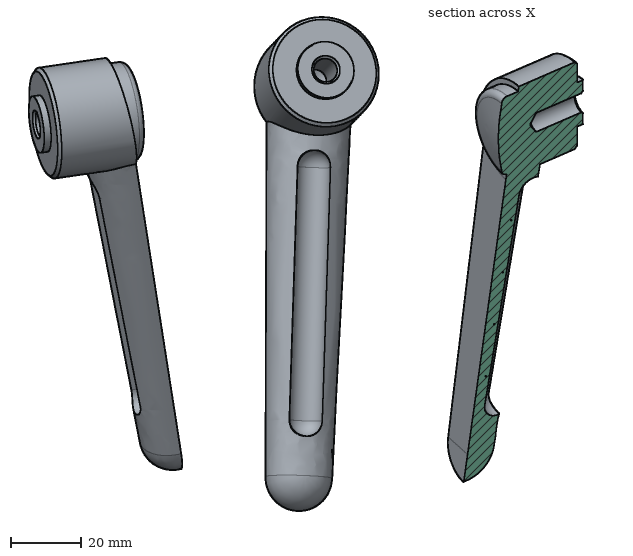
import cadquery as cq
import math

total_height = 136
hub_radius = 15.98
boss_radius = 8.2
boss_length = 2.0
buried_y = 2 * boss_length
hub_chamfer = 1.0

cap_radius = 14.3
cap_edge_radius = 1.9
cap_rim_y = 28.3
cap_peak_y = 29.5

hole_radius = 3.4
hole_mouth_radius = 4.1
hole_depth = 16.3
drill_point_angle = 118

total_depth = 41.5
lever_tilt = 8
root_half_width = 12.4
root_thickness = 12.2
tip_half_width = 9.7
tip_thickness = 9.4

groove_radius = 4.8
groove_start = 23.4
groove_end = 95.6
groove_sink = 1.1

tilt = math.radians(lever_tilt)
tip_drop = total_height - hub_radius
back_y = total_depth - tip_drop * math.tan(tilt)
tip_reach = math.hypot(tip_half_width * math.cos(tilt), tip_thickness * math.sin(tilt))
lever_length = (tip_drop - tip_reach) / math.cos(tilt)

lever_frame = cq.Plane(origin=(0, back_y, 0), xDir=(1, 0, 0), normal=(0, math.sin(tilt), -math.cos(tilt)))


def revolve_about_y(profile):
    return profile.close().revolve(360, (0, 0, 0), (0, 1, 0))


def half_ellipse(sketch, half_width, thickness):
    """Close a section with its flat on local x and its crest at local y = thickness."""
    return (
        sketch.moveTo(half_width, 0)
        .ellipseArc(half_width, thickness, 0, 180, startAtCurrent=True)
        .close()
    )


def make_hub():
    body = (
        cq.Workplane("XZ", origin=(0, boss_length, 0))
        .circle(hub_radius)
        .extrude(boss_length - total_depth)
        .faces("<Y")
        .chamfer(hub_chamfer)
    )
    behind_lever = (
        cq.Workplane(lever_frame)
        .center(0, -total_height / 2)
        .box(total_height, total_height, total_height)
    )
    boss = cq.Workplane("XZ").circle(boss_radius).extrude(-buried_y)
    return body.cut(behind_lever).union(boss)


def make_cap():
    shoulder_radius = cap_radius - cap_edge_radius
    dome_rise = cap_peak_y - cap_rim_y
    dome_radius = (shoulder_radius**2 + dome_rise**2) / (2 * dome_rise)
    half_angle = math.asin(shoulder_radius / dome_radius) / 2
    dome_middle = (
        dome_radius * math.sin(half_angle),
        cap_peak_y - dome_radius * (1 - math.cos(half_angle)),
    )
    profile = (
        cq.Workplane("XY")
        .moveTo(0, buried_y)
        .lineTo(cap_radius, buried_y)
        .lineTo(cap_radius, cap_rim_y - cap_edge_radius)
        .radiusArc((shoulder_radius, cap_rim_y), -cap_edge_radius)
        .threePointArc(dome_middle, (0, cap_peak_y))
    )
    return revolve_about_y(profile)


def make_lever():
    root = half_ellipse(cq.Workplane(lever_frame), root_half_width, root_thickness)
    arm = half_ellipse(
        root.workplane(offset=lever_length), tip_half_width, tip_thickness
    ).loft(ruled=True)
    tip_frame = cq.Plane(
        origin=lever_frame.toWorldCoords((0, 0, lever_length)),
        xDir=lever_frame.xDir,
        normal=lever_frame.zDir,
    )
    tip = (
        cq.Workplane(tip_frame)
        .moveTo(tip_half_width, 0)
        .ellipseArc(tip_half_width, tip_thickness, 0, 90, startAtCurrent=True)
        .lineTo(0, 0)
        .close()
        .revolve(360, (0, 0, 0), (0, 1, 0))
    )
    return arm.union(tip)


def make_groove():
    def ball_centre(distance):
        taper = (root_thickness - tip_thickness) / lever_length
        crest = root_thickness - taper * distance
        return lever_frame.toWorldCoords((0, crest - groove_sink, distance))

    start = ball_centre(groove_start)
    end = ball_centre(groove_end)
    along = end - start
    groove = cq.Workplane(cq.Solid.makeCylinder(groove_radius, along.Length, start, along))
    for centre in (start, end):
        groove = groove.union(cq.Workplane("XY").sphere(groove_radius).translate(centre))
    return groove


def make_hole():
    point_length = hole_radius / math.tan(math.radians(drill_point_angle / 2))
    mouth_depth = hole_mouth_radius - hole_radius
    profile = (
        cq.Workplane("XY")
        .lineTo(hole_mouth_radius, 0)
        .lineTo(hole_radius, mouth_depth)
        .lineTo(hole_radius, hole_depth)
        .lineTo(0, hole_depth + point_length)
    )
    return revolve_about_y(profile)


lever = make_lever().cut(make_groove())
result = make_hub().union(make_cap()).union(lever).cut(make_hole())